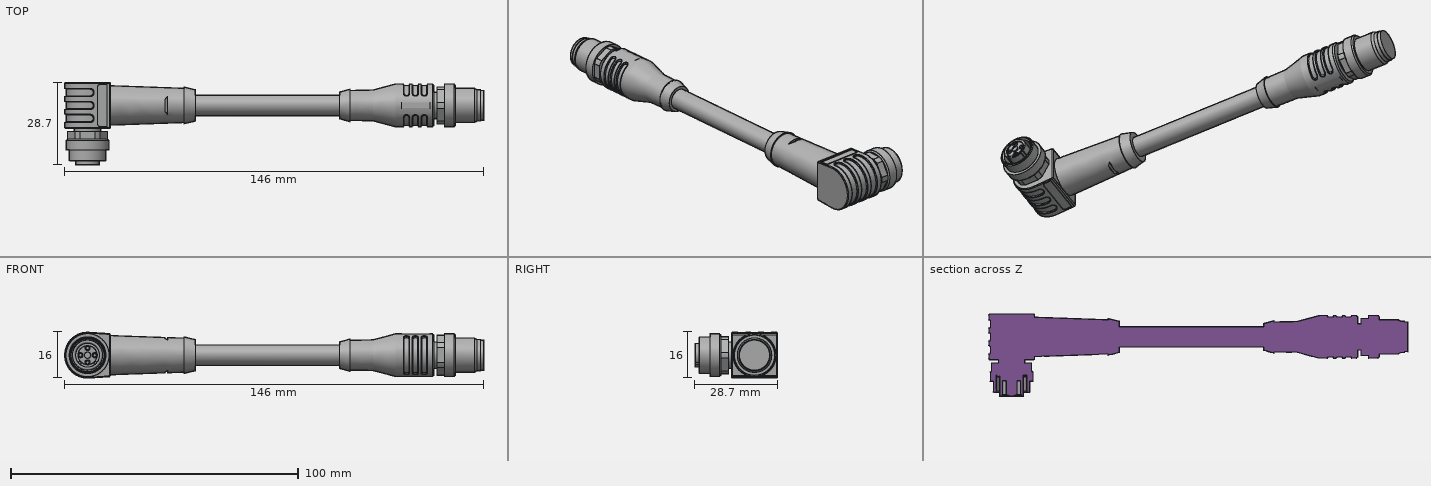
import cadquery as cq
import math


OVERALL_LENGTH = 145.97
OVERALL_WIDTH = 28.7

HEAD_R = 8.0
HEAD_END_HALF_Z = 7.5
HEAD_CHAMFER = 0.45
HEAD_END_CHAMFER = 0.3
GRIP_DEPTH = 0.5
GRIP_FLOOR_CHAMFER = 0.3
HEAD_GROOVE_WIDTH = 2.9
HEAD_GROOVE_PITCH = 4.5
HEAD_GROOVE_TIP_X = 2.3
GROOVE_COUNT = 3
PANEL_X = (3.5, 6.7)
PANEL_HALF_Y = 7.3
PANEL_CORNER_R = 0.8
PANEL_DEPTH = 0.2

CABLE_D = 7.25
SLEEVE_START_D = 13.8
SLEEVE_END_D = 12.0
SLEEVE_LIP_D = 12.8
SLEEVE_TIP_D = 10.95
SLEEVE_LIP_X = 33.6
SLEEVE_TIP_X = 37.5
MARK_X = (26.9, 27.9)
MARK_Z = (5.9, 5.35)

BOOT_TIP_D = 9.3
BOOT_LIP_D = 11.4
BOOT_NECK_D = (10.5, 10.8)
GRIP_D = 15.0
BOOT_TIP_X = 87.7
BOOT_LIP_X = 91.4
BOOT_CONE_X = 99.4
GRIP_X = 107.2
GRIP_END_X = 120.5
GRIP_CHAMFER = 0.5
GRIP_GROOVE_WIDTH = 2.2
GRIP_GROOVE_PITCH = 3.1
GRIP_GROOVE_MID_X = 114.1
GRIP_GROOVE_TIP_Y = 3.2
FLAT_X = (109.3, 119.2)
FLAT_HALF_Y = 1.0

NECK_D = 9.3
HEX_ACROSS_FLATS = 13.0
HEX_CORNER_D = 14.0
MALE_HEX_TURN = 30
FEMALE_HEX_TURN = 0
COLLAR_D = 15.0
COLLAR_CHAMFER = 0.5

MALE_HEX_X = 121.6
MALE_COLLAR_X = 124.2
MALE_THREAD_X = 128.0
MALE_THREAD_END_X = 134.6
MALE_RELIEF_X = 135.5
MALE_TIP_X = 136.8
MALE_END_X = OVERALL_LENGTH - HEAD_R
MALE_THREAD_D = 12.0
MALE_RELIEF_D = 10.95
MALE_TIP_D = 10.5

FEMALE_HEX = 9.0
FEMALE_COLLAR = 11.75
FEMALE_SLEEVE = 15.5
FEMALE_SLEEVE_END = 19.4
FEMALE_BORE_DEPTH = 6.0
FEMALE_BORE_FLOOR = FEMALE_SLEEVE_END - FEMALE_BORE_DEPTH
FEMALE_END = OVERALL_WIDTH - HEAD_R
FEMALE_SLEEVE_D = 12.8
FEMALE_BORE_D = 10.5
FEMALE_LEAD_IN = 0.5
FEMALE_RIM_CHAMFER = 0.3
INSERT_D = 8.3
INSERT_RECESS_D = 6.6
INSERT_RECESS_DEPTH = 0.4
INSERT_BOSS_D = 2.2
CONTACT_CIRCLE_R = 2.5
CONTACT_COUNT = 4
CONTACT_D = 1.15
CONTACT_MOUTH_D = 1.8
CONTACT_MOUTH_TAPER = 45
CONTACT_DEPTH = 5.0
KEY_ANGLES = (225, 315)
KEY_WIDTH = 1.0
KEY_DEPTH = 0.7


def revolve_x(points):
    """Solid of revolution about X from (x, radius) points; both ends close on the axis."""
    outline = [(points[0][0], 0)] + points + [(points[-1][0], 0)]
    return cq.Workplane("XY").polyline(outline).close().revolve(360, (0, 0), (1, 0))


def female_frame(distance):
    """Workplane across the female plug; local Z points out of the plug, along -Y."""
    return cq.Workplane("XZ", origin=(0, -distance, 0))


def head_outline(inset):
    """Profile across Y: round back whose tangent sides taper towards the sleeve."""
    radius = HEAD_R - inset
    taper = math.asin(HEAD_R / math.hypot(HEAD_R, HEAD_END_HALF_Z)) - math.atan2(HEAD_END_HALF_Z, HEAD_R)
    tangent = (radius * math.sin(taper), radius * math.cos(taper))
    end_z = tangent[1] - (HEAD_R - tangent[0]) * math.tan(taper)
    return (
        cq.Workplane("XZ", origin=(0, HEAD_R, 0))
        .moveTo(HEAD_R, end_z)
        .lineTo(*tangent)
        .threePointArc((-radius, 0), (tangent[0], -tangent[1]))
        .lineTo(HEAD_R, -end_z)
        .close()
        .extrude(2 * HEAD_R)
    )


def stadium(tip, length, width):
    """Tall bar, stadium shaped from above, running from `tip` towards -X."""
    return (
        cq.Workplane("XY", origin=(tip[0] - length / 2, tip[1], 0))
        .slot2D(length, width)
        .extrude(HEAD_R, both=True)
    )


def groove_cutter(body, floor, bar, seam):
    """Part of `bar` between body and floor, narrowed by a chamfer where it meets the floor."""
    cutter = body.cut(floor).intersect(bar)
    floor_shape = floor.val()
    rim = [
        edge for edge in cutter.edges("not |" + seam).vals()
        if floor_shape.distance(cq.Vertex.makeVertex(*edge.positionAt(0.5).toTuple())) < GRIP_DEPTH / 10
    ]
    return cutter.newObject(rim).chamfer(GRIP_FLOOR_CHAMFER)


def make_head():
    head = head_outline(0).faces(">X").edges("|Y").chamfer(HEAD_CHAMFER)
    head = head.faces("<Y or >Y").chamfer(HEAD_END_CHAMFER)
    groove_floor = head_outline(GRIP_DEPTH)
    for i in range(GROOVE_COUNT):
        y = (i - (GROOVE_COUNT - 1) / 2) * HEAD_GROOVE_PITCH
        bar = stadium((HEAD_GROOVE_TIP_X, y), 3 * HEAD_R, HEAD_GROOVE_WIDTH)
        head = head.cut(groove_cutter(head_outline(0), groove_floor, bar, "Y"))

    panel_skin = head_outline(0).cut(head_outline(PANEL_DEPTH))
    panel = (
        cq.Workplane("XY", origin=(sum(PANEL_X) / 2, 0, 0))
        .rect(PANEL_X[1] - PANEL_X[0], 2 * PANEL_HALF_Y)
        .extrude(HEAD_R, both=True)
        .edges("|Z and <X")
        .fillet(PANEL_CORNER_R)
    )
    return head.cut(panel_skin.intersect(panel))


def make_sleeve():
    sleeve = revolve_x([
        (0, SLEEVE_START_D / 2),
        (HEAD_R, SLEEVE_START_D / 2),
        (SLEEVE_LIP_X, SLEEVE_END_D / 2),
        (SLEEVE_LIP_X, SLEEVE_LIP_D / 2),
        (SLEEVE_TIP_X, SLEEVE_TIP_D / 2),
    ])
    notch = (
        cq.Workplane("XZ")
        .polyline([
            (MARK_X[0], MARK_Z[0]),
            (MARK_X[1], MARK_Z[1]),
            (MARK_X[1], HEAD_R),
            (MARK_X[0], HEAD_R),
        ])
        .close()
        .extrude(HEAD_R, both=True)
    )
    return sleeve.cut(notch).cut(notch.mirror("XY"))


def make_cable():
    return revolve_x([(SLEEVE_LIP_X, CABLE_D / 2), (BOOT_LIP_X, CABLE_D / 2)])


def make_boot():
    grip_r = GRIP_D / 2
    boot = revolve_x([
        (BOOT_TIP_X, BOOT_TIP_D / 2),
        (BOOT_LIP_X, BOOT_LIP_D / 2),
        (BOOT_LIP_X, BOOT_NECK_D[0] / 2),
        (BOOT_CONE_X, BOOT_NECK_D[1] / 2),
        (GRIP_X, grip_r),
        (GRIP_END_X - GRIP_CHAMFER, grip_r),
        (GRIP_END_X, grip_r - GRIP_CHAMFER),
    ])
    grip = revolve_x([(GRIP_X, grip_r), (GRIP_END_X, grip_r)])
    groove_floor = revolve_x([(GRIP_X, grip_r - GRIP_DEPTH), (GRIP_END_X, grip_r - GRIP_DEPTH)])
    for i in range(GROOVE_COUNT):
        x = GRIP_GROOVE_MID_X + (i - (GROOVE_COUNT - 1) / 2) * GRIP_GROOVE_PITCH
        bar = stadium((-GRIP_GROOVE_TIP_Y, 0), GRIP_D, GRIP_GROOVE_WIDTH)
        for angle in (90, -90):
            side = bar.rotate((0, 0, 0), (0, 0, 1), angle).translate((x, 0, 0))
            boot = boot.cut(groove_cutter(grip, groove_floor, side, "X"))

    flat_z = math.sqrt(grip_r**2 - FLAT_HALF_Y**2)
    flat = (
        cq.Workplane("XY", origin=(sum(FLAT_X) / 2, 0, flat_z))
        .rect(FLAT_X[1] - FLAT_X[0], GRIP_D)
        .extrude(grip_r)
    )
    return boot.cut(flat).cut(flat.mirror("XY"))


def hex_grip(frame, length, turn):
    """Hexagon with its corners turned round."""
    corner_to_corner = HEX_ACROSS_FLATS / math.cos(math.pi / 6)
    hexagon = frame.transformed(rotate=(0, 0, turn)).polygon(6, corner_to_corner).extrude(length)
    return hexagon.intersect(frame.circle(HEX_CORNER_D / 2).extrude(length))


def make_male_plug():
    collar_r = COLLAR_D / 2
    plug = revolve_x([
        (GRIP_END_X, NECK_D / 2),
        (MALE_COLLAR_X, NECK_D / 2),
        (MALE_COLLAR_X, collar_r),
        (MALE_THREAD_X - COLLAR_CHAMFER, collar_r),
        (MALE_THREAD_X, collar_r - COLLAR_CHAMFER),
        (MALE_THREAD_X, MALE_THREAD_D / 2),
        (MALE_THREAD_END_X, MALE_THREAD_D / 2),
        (MALE_RELIEF_X, MALE_RELIEF_D / 2),
        (MALE_TIP_X, MALE_RELIEF_D / 2),
        (MALE_TIP_X, MALE_TIP_D / 2),
        (MALE_END_X, MALE_TIP_D / 2),
    ])
    frame = cq.Workplane("YZ", origin=(MALE_HEX_X, 0, 0))
    return plug.union(hex_grip(frame, MALE_COLLAR_X - MALE_HEX_X, MALE_HEX_TURN))


def make_female_nut():
    neck = female_frame(HEAD_R).circle(NECK_D / 2).extrude(FEMALE_COLLAR - HEAD_R)
    grip = hex_grip(female_frame(FEMALE_HEX), FEMALE_COLLAR - FEMALE_HEX, FEMALE_HEX_TURN)
    collar = (
        female_frame(FEMALE_COLLAR)
        .circle(COLLAR_D / 2)
        .extrude(FEMALE_SLEEVE - FEMALE_COLLAR)
        .faces(">Y")
        .chamfer(COLLAR_CHAMFER)
    )
    sleeve = (
        female_frame(FEMALE_SLEEVE)
        .circle(FEMALE_SLEEVE_D / 2)
        .extrude(FEMALE_SLEEVE_END - FEMALE_SLEEVE)
        .faces("<Y")
        .chamfer(FEMALE_RIM_CHAMFER)
    )
    bore = female_frame(FEMALE_BORE_FLOOR).circle(FEMALE_BORE_D / 2).extrude(FEMALE_BORE_DEPTH)
    nut = neck.union(grip).union(collar).union(sleeve).cut(bore)
    return nut.faces("<Y").edges("%CIRCLE").edges(cq.selectors.RadiusNthSelector(0)).chamfer(FEMALE_LEAD_IN)


def make_insert():
    """Contact carrier in the nut, with a sealing ring on the floor of the bore."""
    insert = female_frame(FEMALE_BORE_FLOOR).circle(INSERT_D / 2).extrude(FEMALE_END - FEMALE_BORE_FLOOR)
    recess = (
        female_frame(FEMALE_END)
        .circle(INSERT_RECESS_D / 2)
        .circle(INSERT_BOSS_D / 2)
        .extrude(-INSERT_RECESS_DEPTH)
    )
    insert = insert.cut(recess)

    contact_face = female_frame(FEMALE_END - INSERT_RECESS_DEPTH)
    mouth_depth = (CONTACT_MOUTH_D - CONTACT_D) / 2 / math.tan(math.radians(CONTACT_MOUTH_TAPER))
    for i in range(CONTACT_COUNT):
        angle = i * 2 * math.pi / CONTACT_COUNT
        centre = (CONTACT_CIRCLE_R * math.cos(angle), CONTACT_CIRCLE_R * math.sin(angle))
        contact = contact_face.center(*centre)
        hole = contact.circle(CONTACT_D / 2).extrude(-CONTACT_DEPTH)
        mouth = contact.circle(CONTACT_MOUTH_D / 2).extrude(-mouth_depth, taper=CONTACT_MOUTH_TAPER)
        insert = insert.cut(hole).cut(mouth)
    for angle in KEY_ANGLES:
        keyway = (
            female_frame(FEMALE_BORE_FLOOR)
            .transformed(rotate=(0, 0, angle))
            .center(INSERT_D / 2, 0)
            .rect(2 * KEY_DEPTH, KEY_WIDTH)
            .extrude(FEMALE_END - FEMALE_BORE_FLOOR)
        )
        insert = insert.cut(keyway)

    ring_r = (FEMALE_BORE_D + INSERT_D) / 4
    section_r = (FEMALE_BORE_D - INSERT_D) / 4
    torus = cq.Solid.makeTorus(ring_r, section_r, cq.Vector(0, -FEMALE_BORE_FLOOR, 0), cq.Vector(0, 1, 0))
    seal = cq.Workplane(torus)
    return insert.union(seal)


result = (
    make_head()
    .union(make_sleeve())
    .union(make_cable())
    .union(make_boot())
    .union(make_male_plug())
    .union(make_female_nut())
    .union(make_insert())
)